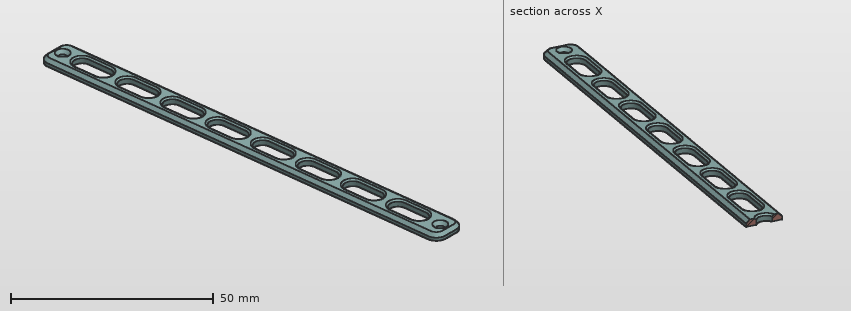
import cadquery as cq

length = 132.0
width = 10.0
thickness = 2.0
rim_chamfer = 1.0
corner_radius = 3 * rim_chamfer

slot_count = 8
first_slot_x = -52.5
last_slot_x = 52.0
slot_pitch = (last_slot_x - first_slot_x) / (slot_count - 1)
slot_length = 12.0
slot_width = 5.0
slot_chamfer = 0.5
slot_flare_angle = 45.0

hole_spacing = 125.0
hole_diameter = 2.0
countersink_diameter = 4.0
countersink_angle = 90.0


def rounded_plate():
    """Flat bar with rounded corners and a chamfered top rim."""
    bar = cq.Workplane("XY").box(length, width, thickness, centered=(True, True, False))
    return bar.edges("|Z").fillet(corner_radius).faces(">Z").chamfer(rim_chamfer)


def slot_cutters():
    """Through slots whose top edges flare outwards."""
    centres = [(first_slot_x + i * slot_pitch, 0) for i in range(slot_count)]
    through = (
        cq.Workplane("XY")
        .pushPoints(centres)
        .slot2D(slot_length, slot_width)
        .extrude(thickness)
    )
    flare = (
        cq.Workplane("XY", origin=(0, 0, thickness))
        .pushPoints(centres)
        .slot2D(slot_length + 2 * slot_chamfer, slot_width + 2 * slot_chamfer)
        .extrude(-slot_chamfer, taper=slot_flare_angle)
    )
    return through.union(flare)


def drill_screw_holes(plate):
    """Countersunk through holes on the centreline, one near each end."""
    return (
        plate.faces(">Z")
        .workplane(origin=(0, 0, thickness))
        .pushPoints([(-hole_spacing / 2, 0), (hole_spacing / 2, 0)])
        .cskHole(hole_diameter, countersink_diameter, countersink_angle)
    )


result = drill_screw_holes(rounded_plate().cut(slot_cutters()))